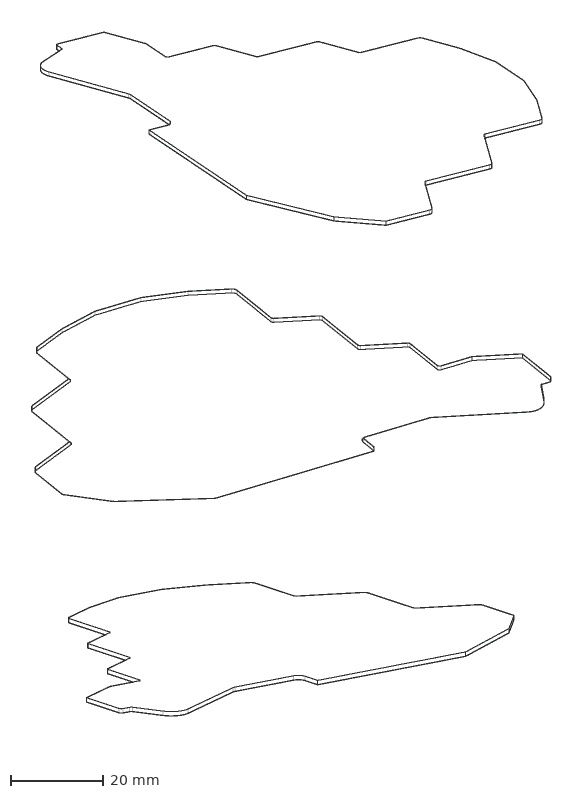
import cadquery as cq
import math

length = 116.9
depth = 85.9
thickness = 1.0
slope = math.tan(math.radians(25))

head_center = 63.7
head_half_width = 25.4
crown_half_width = 16.0
crown_height = 83.0
top_half_width = 5.8
head_left = head_center - head_half_width
head_right = head_center + head_half_width
eave_height = crown_height - slope * (head_half_width - crown_half_width)

upper_step_x = 28.5
lower_step_x = 18.5
upper_step_y = 63.3
lower_step_y = 43.1

right_step_x = 103.5
right_step_y = 63.7
right_lower_y = 39.8

arm_top = 26.2
arm_bottom = 9.2
arm_shoulder_x = 9.9
arm_notch_x = 2.8
arm_slope_end_x = 30.9
toe_x = 8.0
toe_y = -1.3
base_y = 2.9
base_left = 49.0
base_right = 89.5
side_bottom = 21.6
bevel_x = 109.1
bevel_y = 13.2

small_radius = 0.6
corner_radius = 1.2
arm_radius = 1.8
toe_radius = 4.1

corners = [
    (0, arm_bottom, small_radius),
    (0, arm_top - slope * arm_shoulder_x, 0),
    (arm_shoulder_x, arm_top, 0),
    (lower_step_x, arm_top, small_radius),
    (lower_step_x, lower_step_y - slope * (upper_step_x - lower_step_x), small_radius),
    (upper_step_x, lower_step_y, small_radius),
    (upper_step_x, upper_step_y - slope * (head_left - upper_step_x), small_radius),
    (head_left, upper_step_y, small_radius),
    (head_left, eave_height, corner_radius),
    (head_center - crown_half_width, crown_height, 0),
    (head_center - top_half_width, depth, 0),
    (head_center + top_half_width, depth, 0),
    (head_center + crown_half_width, crown_height, 0),
    (head_right, eave_height, corner_radius),
    (head_right, right_step_y, small_radius),
    (right_step_x, right_step_y - slope * (right_step_x - head_right), corner_radius),
    (right_step_x, right_lower_y, small_radius),
    (length, right_lower_y - slope * (length - right_step_x), corner_radius),
    (length, side_bottom, 0),
    (bevel_x, bevel_y, 0),
    (base_right, base_y, 0),
    (base_left, base_y, 0),
    (base_left, arm_bottom, arm_radius),
    (arm_slope_end_x, arm_bottom, arm_radius),
    (toe_x, toe_y, toe_radius),
    (arm_notch_x, arm_bottom, small_radius),
]


def round_corner(plate, x, y, radius):
    """Round the upright plate edge standing at (x, y)."""
    edge = cq.selectors.NearestToPointSelector((x, y, thickness / 2))
    return plate.edges("|Z").edges(edge).fillet(radius)


outline = [(x, y) for x, y, _ in corners]
result = cq.Workplane("XY").polyline(outline).close().extrude(thickness)
for x, y, radius in corners:
    if radius > 0:
        result = round_corner(result, x, y, radius)